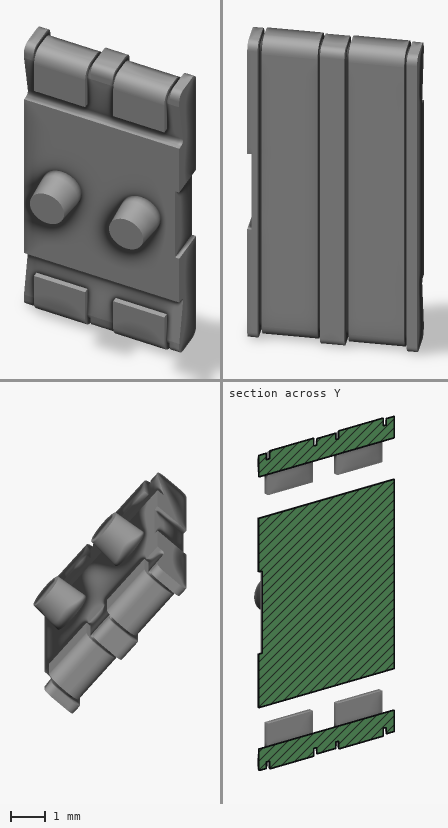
import cadquery as cq

WIDTH = 4.98
HEIGHT = 10.0
BODY_THICKNESS = 1.11
BODY_CORNER_RADIUS = 0.25

SLOPE_START = 0.46
LEDGE_DISTANCE = 2.05
GROOVE_DEPTH = 0.28
GROOVE_RADIUS = 0.13

PITCH = 2.54
CHANNEL_WIDTH = 1.83
CHANNEL_BACK_DEPTH = 0.31
CHANNEL_END_DEPTH = 0.18
CHANNEL_CORNER_RADIUS = 0.28
CONTACT_WIDTH = 1.64
CONTACT_FRONT_THICKNESS = 0.16
CONTACT_BACK_INSET = 0.13
CONTACT_CORNER_RADIUS = 0.41
LEG_LENGTH = 1.45

PIN_BASE_DIAMETER = 1.27
PIN_TIP_DIAMETER = 1.1
PIN_LENGTH = 1.0

NOTCH_DEPTH = 0.13
NOTCH_HEIGHT = 2.54

BACK = BODY_THICKNESS
HALF_HEIGHT = HEIGHT / 2
STATIONS = (-PITCH / 2, PITCH / 2)


def block(x_center, x_width, y_front, y_back, z_half):
    """Box centred on Z = 0, placed by its X centre and its two Y faces."""
    box = cq.Workplane("XY").box(x_width, y_back - y_front, 2 * z_half)
    return box.translate((x_center, (y_front + y_back) / 2, 0))


def rounded_block(x_center, x_width, y_front, y_back, z_half, radius):
    """Block with its four edges along X rounded."""
    return block(x_center, x_width, y_front, y_back, z_half).edges("|X").fillet(radius)


def groove(side):
    """Sloped undercut across the front face; side is +1 for the upper end, -1 for the lower."""
    slope_z = side * (HALF_HEIGHT - SLOPE_START)
    ledge_z = side * (HALF_HEIGHT - LEDGE_DISTANCE)
    wedge = (
        cq.Workplane("YZ")
        .polyline([(0, slope_z), (GROOVE_DEPTH, ledge_z), (0, ledge_z)])
        .close()
        .extrude(WIDTH / 2, both=True)
    )
    return wedge.edges("|X and >Y").fillet(GROOVE_RADIUS)


def channel_core(x_center):
    """Body section left inside a contact channel."""
    return rounded_block(
        x_center, CHANNEL_WIDTH, 0, BACK - CHANNEL_BACK_DEPTH,
        HALF_HEIGHT - CHANNEL_END_DEPTH, CHANNEL_CORNER_RADIUS,
    )


def channel(x_center):
    """Material removed around the body to seat one contact."""
    full_section = block(x_center, CHANNEL_WIDTH, 0, BACK, HALF_HEIGHT)
    return full_section.cut(channel_core(x_center))


def contact(x_center):
    """C-shaped strip over the back and both ends, with two legs in front."""
    strip = rounded_block(
        x_center, CONTACT_WIDTH, -CONTACT_FRONT_THICKNESS, BACK - CONTACT_BACK_INSET,
        HALF_HEIGHT, CONTACT_CORNER_RADIUS,
    )
    opening = block(x_center, CONTACT_WIDTH, -CONTACT_FRONT_THICKNESS, 0, HALF_HEIGHT - LEG_LENGTH)
    return strip.cut(channel_core(x_center)).cut(opening)


def pin(x_center):
    """Tapered pin pointing towards -Y."""
    cone = cq.Solid.makeCone(
        PIN_BASE_DIAMETER / 2, PIN_TIP_DIAMETER / 2, PIN_LENGTH,
        pnt=cq.Vector(x_center, 0, 0), dir=cq.Vector(0, -1, 0),
    )
    return cq.Workplane(obj=cone)


body = rounded_block(0, WIDTH, 0, BACK, HALF_HEIGHT, BODY_CORNER_RADIUS)

for station in STATIONS:
    body = body.cut(channel(station))

for side in (1, -1):
    body = body.cut(groove(side))

notch_center = (WIDTH - NOTCH_DEPTH) / 2
body = body.cut(block(notch_center, NOTCH_DEPTH, 0, BACK, NOTCH_HEIGHT / 2))

for station in STATIONS:
    body = body.union(contact(station)).union(pin(station))

result = body